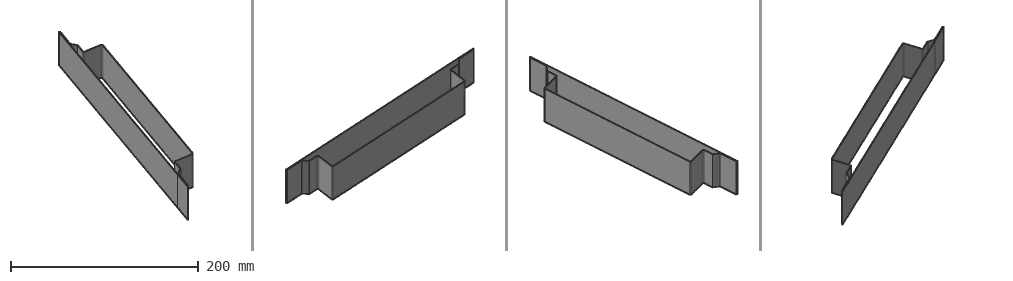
import cadquery as cq
import math

LENGTH = 272.0
DEPTH = 31.0
HEIGHT = 50.0

PLATE_THICKNESS = 1.0

SHEET = 1.0
INNER_BEND_RADIUS = 0.7
BRACKET_LENGTH = 270.0
CHANNEL_WIDTH = 192.5
STEP_OUTER_X = 108.3
FLANGE_INNER_X = 114.0
STEP_BACK_Y = 8.0

OUTER_BEND_RADIUS = INNER_BEND_RADIUS + SHEET


def make_plate():
    """Flat rectangular plate with its front face on Y = 0."""
    return cq.Workplane("XY").box(
        LENGTH, PLATE_THICKNESS, HEIGHT, centered=(True, False, True)
    )


def make_bracket():
    """Hat-shaped sheet of constant thickness, extruded along Z."""
    flange_back_y = PLATE_THICKNESS + SHEET
    step_front_y = STEP_BACK_Y - SHEET
    wall_outer_x = CHANNEL_WIDTH / 2
    wall_inner_x = wall_outer_x - SHEET
    end_x = BRACKET_LENGTH / 2

    slope_angle = math.atan2(STEP_BACK_Y - flange_back_y, FLANGE_INNER_X - STEP_OUTER_X)
    corner_shift = SHEET * math.tan(slope_angle / 2)

    back_side = [
        (wall_outer_x, DEPTH),
        (wall_outer_x, STEP_BACK_Y),
        (STEP_OUTER_X, STEP_BACK_Y),
        (FLANGE_INNER_X, flange_back_y),
        (end_x, flange_back_y),
    ]
    front_side = [
        (end_x, PLATE_THICKNESS),
        (FLANGE_INNER_X - corner_shift, PLATE_THICKNESS),
        (STEP_OUTER_X - corner_shift, step_front_y),
        (wall_inner_x, step_front_y),
        (wall_inner_x, DEPTH - SHEET),
    ]
    right_half = back_side + front_side
    left_half = [(-x, y) for x, y in reversed(right_half)]
    bracket = (
        cq.Workplane("XY")
        .workplane(offset=-HEIGHT / 2)
        .polyline(right_half + left_half)
        .close()
        .extrude(HEIGHT)
    )

    def bend_edges(x, y):
        """Select the mirrored pair of vertical edges at (+x, y) and (-x, y)."""
        right_edge = cq.selectors.NearestToPointSelector((x, y, 0))
        left_edge = cq.selectors.NearestToPointSelector((-x, y, 0))
        return bracket.edges("|Z").edges(right_edge + left_edge)

    bracket = bend_edges(wall_outer_x, DEPTH).fillet(OUTER_BEND_RADIUS)
    bracket = bend_edges(wall_inner_x, DEPTH - SHEET).fillet(INNER_BEND_RADIUS)
    bracket = bend_edges(wall_inner_x, step_front_y).fillet(OUTER_BEND_RADIUS)
    bracket = bend_edges(wall_outer_x, STEP_BACK_Y).fillet(INNER_BEND_RADIUS)
    return bracket


plate = make_plate()
bracket = make_bracket()

result = cq.Compound.makeCompound([plate.val(), bracket.val()])